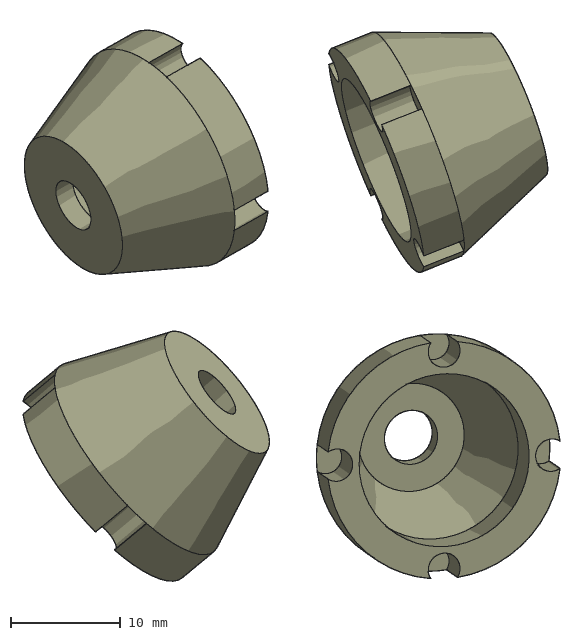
import cadquery as cq
import math

rim_diameter = 22.0
nose_diameter = 14.0
rim_length = 4.0
total_length = 14.0
bore_diameter = 5.0
cavity_diameter = 16.0
cavity_floor_diameter = 10.0
floor_thickness = 2.0
notch_mouth = 2.5
notch_diameter = 3.0
notch_count = 4

rim_radius = rim_diameter / 2
nose_radius = nose_diameter / 2
cone_length = total_length - rim_length

notch_radius = notch_diameter / 2
half_mouth = notch_mouth / 2
notch_centre_radius = (
    math.sqrt(rim_radius**2 - half_mouth**2) - math.sqrt(notch_radius**2 - half_mouth**2)
)

cavity_radius = cavity_diameter / 2
cavity_floor_radius = cavity_floor_diameter / 2


def revolve_about_y(points):
    """Turn a closed (radius, y) outline about the Y axis."""
    return cq.Workplane("XY").polyline(points).close().revolve(360, (0, 0, 0), (0, 1, 0))


def make_body():
    """Outer cone with the straight rim behind it."""
    return revolve_about_y([
        (0, 0),
        (nose_radius, 0),
        (rim_radius, cone_length),
        (rim_radius, total_length),
        (0, total_length),
    ])


def make_cavity():
    """Hollow open at the back: straight through the rim, then tapering to a flat floor."""
    return revolve_about_y([
        (0, floor_thickness),
        (cavity_floor_radius, floor_thickness),
        (cavity_radius, cone_length),
        (cavity_radius, total_length),
        (0, total_length),
    ])


def make_bore():
    return cq.Workplane("XZ").circle(bore_diameter / 2).extrude(-total_length)


def make_notches():
    """Undercut round grooves along the whole rim."""
    return (
        cq.Workplane("XZ", origin=(0, cone_length, 0))
        .polarArray(notch_centre_radius, 0, 360, notch_count)
        .circle(notch_radius)
        .extrude(-rim_length)
    )


result = make_body().cut(make_cavity()).cut(make_bore()).cut(make_notches())